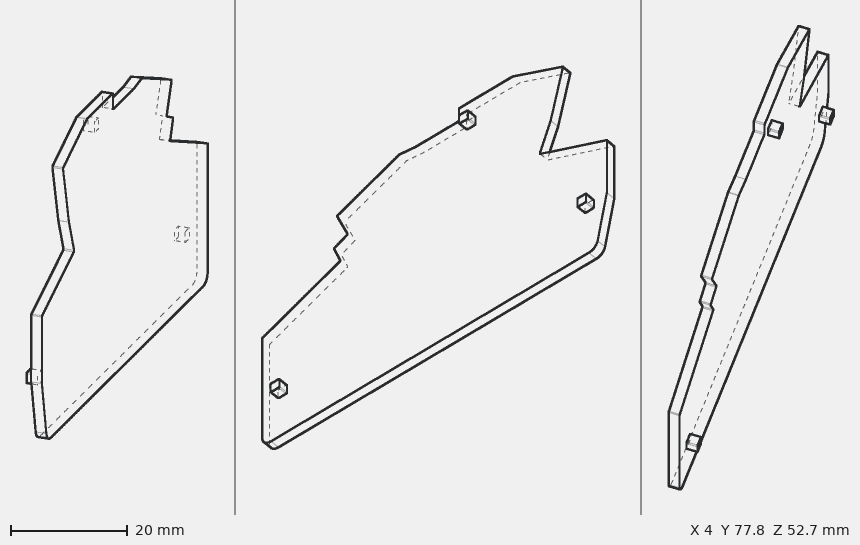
import cadquery as cq

length = 77.8
height = 52.7
total_depth = 4.0
plate_thickness = total_depth / 2
peg_length = total_depth - plate_thickness
peg_width = 2.0
peg_corner_radius = 0.2
base_corner_radius = 2.0
shelf_height = 49.65
raised_edge = 44.4
corner_radius = 0.2
side_break = 11.75
shelf_start = 34.7

outline = [
    (0, 0),
    (0, 25.75),
    (17.7, 33.15),
    (16.2, 36.95),
    (19.3, 38.4),
    (16.9, 44.3),
    (31.0, 50.1),
    (shelf_start, shelf_height),
    (raised_edge, shelf_height),
    (raised_edge, height),
    (56.6, height),
    (67.9, 47.9),
    (65.1, 36.8),
    (62.6, 30.4),
    (length, 24.3),
    (length, side_break),
    (75.4, 0),
]

peg_centres = [(4.6, 10.2), (47.15, 47.5), (73.85, 11.0)]


def to_yz(point):
    """Convert (distance from the +Y end, height) to centred Y and Z."""
    distance, level = point
    return (length / 2 - distance, level)


def make_plate():
    """Flat plate with rounded bottom corners and lightly rounded upper corners."""
    plate = cq.Workplane("YZ").polyline([to_yz(p) for p in outline]).close().extrude(plate_thickness)
    plate = plate.edges("|X").edges("<Z").fillet(base_corner_radius)
    sharp_corners = [(length, side_break), (shelf_start, shelf_height)]
    for corner in outline:
        at_base = corner[1] == 0
        if at_base or corner in sharp_corners:
            continue
        y, z = to_yz(corner)
        nearest = cq.selectors.NearestToPointSelector((plate_thickness / 2, y, z))
        plate = plate.edges("|X").edges(nearest).fillet(corner_radius)
    return plate


def make_pegs():
    """Square locating pegs with rounded corners on the -X face."""
    pegs = (
        cq.Workplane("YZ")
        .pushPoints([to_yz(p) for p in peg_centres])
        .rect(peg_width, peg_width)
        .extrude(-peg_length)
    )
    return pegs.edges("|X").fillet(peg_corner_radius)


result = make_plate().union(make_pegs())